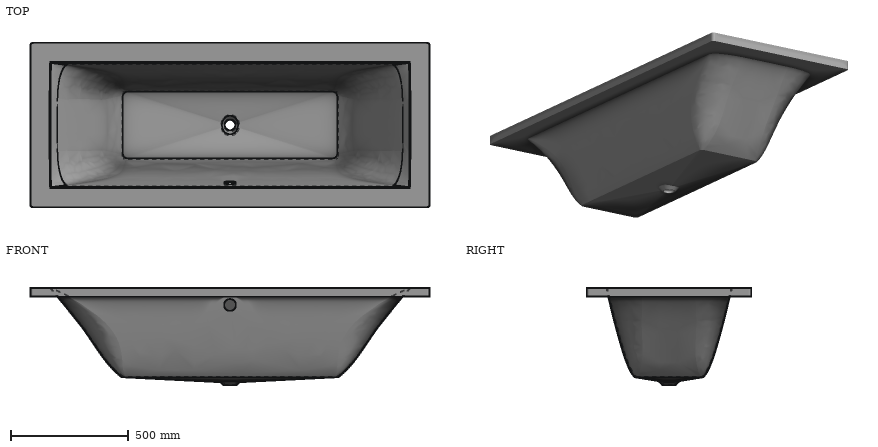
import cadquery as cq

FRAME_LENGTH = 1700.0
FRAME_WIDTH = 700.0
FRAME_THICKNESS = 37.0
FRAME_CORNER_RADIUS = 12.0

TOTAL_HEIGHT = 415.0
WALL = 5.0
BASIN_SECTIONS = [
    (0.0, 768.0, 269.0, 3.0, 153.0),
    (39.0, 733.0, 258.0, 50.0, 143.0),
    (115.0, 670.0, 240.0, 102.0, 124.0),
    (187.0, 615.0, 221.0, 117.0, 105.0),
    (275.0, 556.0, 195.0, 94.0, 83.0),
    (340.0, 505.0, 172.0, 50.0, 51.0),
    (380.0, 460.0, 146.0, 17.0, 17.0),
]
ELLIPSE_HANDLE = 0.5523

FLOOR_DROP = 22.0
FLOOR_END_SCALE = 0.06

DRAIN_OUTER_TOP_RADIUS = 45.0
DRAIN_OUTER_BOTTOM_RADIUS = 27.0
DRAIN_SEAT_RADIUS = 39.0
DRAIN_HOLE_RADIUS = 22.0

OVERFLOW_RADIUS = 25.0
OVERFLOW_DEPTH = 73.0

FLOOR_EDGE_DEPTH = BASIN_SECTIONS[-1][0]
FLOOR_LOW_DEPTH = FLOOR_EDGE_DEPTH + FLOOR_DROP


def basin_outline(depth, half_length, half_width, corner_x, corner_y):
    """Closed horizontal wire: a rectangle with elliptical corners."""
    wire = cq.Workplane("XY", origin=(0, 0, -depth)).moveTo(half_length - corner_x, -half_width)
    corners = [(1, -1), (1, 1), (-1, 1), (-1, -1)]
    for side_x, side_y in corners:
        on_side = (side_x * (half_length - corner_x), side_y * half_width)
        on_end = (side_x * half_length, side_y * (half_width - corner_y))
        side_handle = (on_side[0] + side_x * corner_x * ELLIPSE_HANDLE, on_side[1])
        end_handle = (on_end[0], on_end[1] + side_y * corner_y * ELLIPSE_HANDLE)
        curve = [on_side, side_handle, end_handle, on_end]
        if side_x * side_y > 0:
            curve.reverse()
        if (side_x, side_y) != corners[0]:
            wire = wire.lineTo(*curve[0])
        wire = wire.bezier(curve[1:], includeCurrent=True)
    return wire.close().val()


def basin_volume(inset):
    """Solid bounded by the basin surface, moved inwards by the inset."""
    outlines = []
    for depth, half_length, half_width, corner_x, corner_y in BASIN_SECTIONS:
        level = depth if depth < FLOOR_EDGE_DEPTH else depth - inset
        outlines.append(
            basin_outline(level, half_length - inset, half_width - inset, corner_x, corner_y)
        )
    walls = cq.Solid.makeLoft(outlines)

    half_length, half_width, corner_x, corner_y = BASIN_SECTIONS[-1][1:]
    lowest = [
        FLOOR_END_SCALE * size
        for size in (half_length - inset, half_width - inset, corner_x, corner_y)
    ]
    floor = cq.Solid.makeLoft([outlines[-1], basin_outline(FLOOR_LOW_DEPTH - inset, *lowest)], True)
    return cq.Workplane(walls).union(cq.Workplane(floor))


def drain_cone(top_depth, bottom_depth, top_radius, bottom_radius):
    """Vertical cone on the drain axis, narrowing downwards."""
    return cq.Workplane(
        cq.Solid.makeCone(
            bottom_radius, top_radius, bottom_depth - top_depth, pnt=cq.Vector(0, 0, -bottom_depth)
        )
    )


def make_basin(outer):
    inner = basin_volume(WALL)
    drain_outlet = drain_cone(
        FLOOR_LOW_DEPTH - WALL, TOTAL_HEIGHT, DRAIN_OUTER_TOP_RADIUS, DRAIN_OUTER_BOTTOM_RADIUS
    )
    drain_seat = drain_cone(
        FLOOR_LOW_DEPTH - 2 * WALL, TOTAL_HEIGHT - WALL, DRAIN_SEAT_RADIUS, DRAIN_HOLE_RADIUS
    )
    drain_hole = (
        cq.Workplane("XY", origin=(0, 0, -TOTAL_HEIGHT))
        .circle(DRAIN_HOLE_RADIUS)
        .extrude(TOTAL_HEIGHT - FLOOR_EDGE_DEPTH)
    )
    overflow_hole = (
        cq.Workplane("XZ", origin=(0, 0, -OVERFLOW_DEPTH))
        .circle(OVERFLOW_RADIUS)
        .extrude(FRAME_WIDTH / 2)
    )
    return (
        outer.union(drain_outlet)
        .cut(inner)
        .cut(drain_seat)
        .cut(drain_hole)
        .cut(overflow_hole)
    )


def make_frame(basin_envelope):
    """Flat rim whose opening matches the outer surface of the basin."""
    plate = (
        cq.Workplane("XY")
        .rect(FRAME_LENGTH, FRAME_WIDTH)
        .extrude(-FRAME_THICKNESS)
        .edges("|Z")
        .fillet(FRAME_CORNER_RADIUS)
    )
    return plate.cut(basin_envelope)


basin_envelope = basin_volume(0)
basin = make_basin(basin_envelope)
frame = make_frame(basin_envelope)

result = cq.Compound.makeCompound([frame.solids().val(), basin.solids().val()])